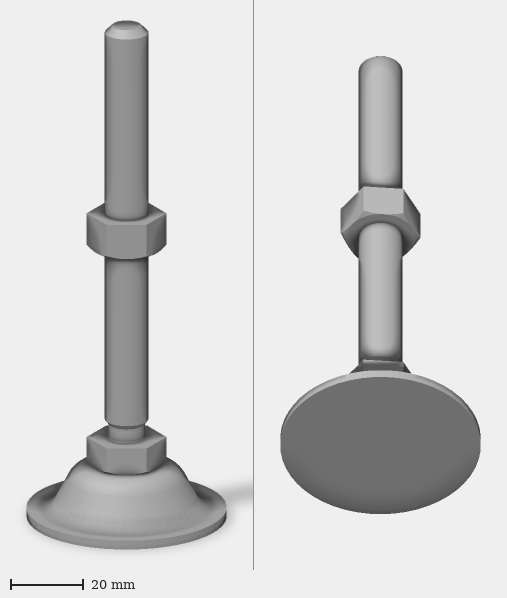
import cadquery as cq
import math

total_height = 143.0

plate_diameter = 55.0
plate_thickness = 2.6
foot_height = 15.3
dome_top_radius = 9.9
cone_top_radius = 16.2
cone_top_z = 11.6
cone_bottom_radius = 19.3
cone_bottom_z = 5.6
skirt_radius = 24.0

rod_radius = 6.0
neck_radius = 5.0
neck_fillet = 0.6
hex_height = 7.7
hex_top_z = foot_height + hex_height
neck_end_z = 27.0
rod_start_z = 28.3
tip_radius = 4.0
tip_chamfer_height = 2.0

across_flats = 19.0
across_corners = across_flats / math.cos(math.radians(30))
nut_height = 10.0
nut_bottom_z = 78.2
hex_chamfer_angle = 30.0


def hexagon(height, bottom_z):
    """Hexagonal prism with corners on X and its lower corners chamfered by a cone."""
    prism = cq.Workplane("XY").polygon(6, across_corners).extrude(height)
    flat_radius = across_flats / 2
    corner_radius = across_corners / 2
    chamfer_height = (corner_radius - flat_radius) * math.tan(math.radians(hex_chamfer_angle))
    envelope = (
        cq.Workplane("XZ")
        .moveTo(0, 0)
        .lineTo(flat_radius, 0)
        .lineTo(corner_radius, chamfer_height)
        .lineTo(corner_radius, height)
        .lineTo(0, height)
        .close()
        .revolve(360, (0, 0, 0), (0, 1, 0))
    )
    return prism.intersect(envelope).translate((0, 0, bottom_z))


def make_foot():
    """Round plate with a conical dome, flared at its foot and rounded at its top."""
    return (
        cq.Workplane("XZ")
        .moveTo(0, 0)
        .lineTo(plate_diameter / 2, 0)
        .lineTo(plate_diameter / 2, plate_thickness)
        .lineTo(skirt_radius, plate_thickness)
        .tangentArcPoint((cone_bottom_radius, cone_bottom_z), relative=False)
        .lineTo(cone_top_radius, cone_top_z)
        .tangentArcPoint((dome_top_radius, foot_height), relative=False)
        .lineTo(0, foot_height)
        .close()
        .revolve(360, (0, 0, 0), (0, 1, 0))
    )


def make_spindle():
    """Rod with a chamfered tip, a narrower filleted neck and a hexagon at its lower end."""
    rod = (
        cq.Workplane("XZ")
        .moveTo(0, hex_top_z)
        .lineTo(neck_radius + neck_fillet, hex_top_z)
        .radiusArc((neck_radius, hex_top_z + neck_fillet), neck_fillet)
        .lineTo(neck_radius, neck_end_z)
        .lineTo(rod_radius, rod_start_z)
        .lineTo(rod_radius, total_height - tip_chamfer_height)
        .lineTo(tip_radius, total_height)
        .lineTo(0, total_height)
        .close()
        .revolve(360, (0, 0, 0), (0, 1, 0))
    )
    return hexagon(hex_height, foot_height).union(rod)


def make_lock_nut():
    """Hexagon nut bored to fit the rod."""
    bore = cq.Workplane("XY").workplane(offset=nut_bottom_z).circle(rod_radius).extrude(nut_height)
    return hexagon(nut_height, nut_bottom_z).cut(bore)


foot = make_foot()
spindle = make_spindle()
lock_nut = make_lock_nut()

result = cq.Compound.makeCompound([foot.val(), spindle.solids().val(), lock_nut.solids().val()])